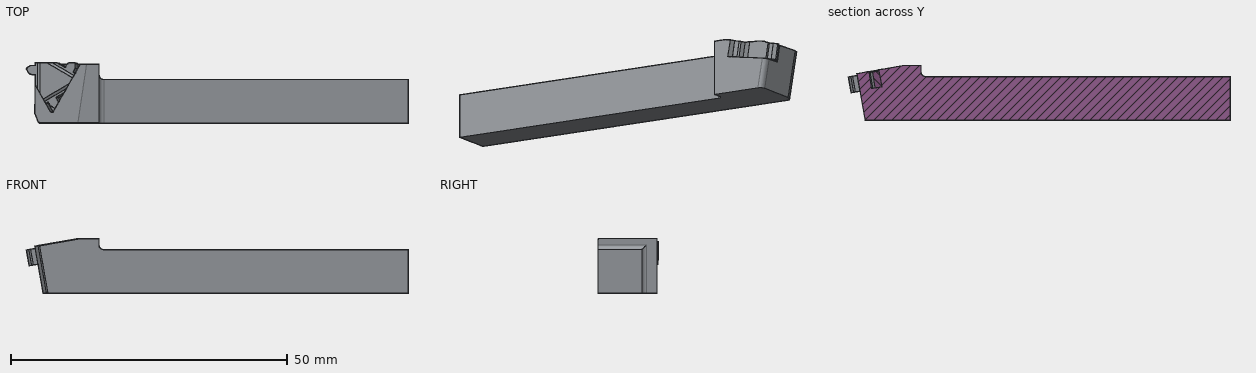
import cadquery as cq
import math

overall_length = 69.2
shank_width = 7.95
shank_height = 7.95

ramp_angle = 10.0
ramp_skew = 8.4
head_width = 10.7
head_height = 10.0
head_back_x = 13.2
nose_bottom_x = 3.05
neck_radius = 0.8
top_edge_chamfer = 0.15
nose_radius = 0.9
nose_facet_length = 1.8
nose_facet_depth = 0.6
nose_small_facet = 0.3
side_lean = math.tan(math.radians(ramp_angle))

crest_x = 9.35

insert_center_x = 4.65
insert_center_y = 7.9
insert_inradius = 3.1
insert_thickness = 3.1
apex_radius = 0.35
corner_count = 3
corner_pitch = 360 / corner_count

skew_slope = math.tan(math.radians(ramp_skew))
crest_distance = crest_x + insert_center_y * skew_slope - insert_center_x
ramp_drop = crest_distance * math.cos(math.radians(ramp_skew)) * math.tan(math.radians(ramp_angle))
insert_center_z = head_height - ramp_drop

hub_reach = 3.1
shoulder_top_reach = 2.2
shoulder_foot_reach = 2.7
tooth_depth = 0.2
tooth_reach = 4.8
tooth_center_y = 1.8
tooth_width = 1.65
tooth_taper_length = 0.8
tooth_tip_width = 0.8
tooth_tip_bulge = 0.15

cut_margin = 20.75


def ramp_cutter():
    """Wedge above the sloping face, whose crest is skewed across the head."""
    rise = cut_margin * math.tan(math.radians(ramp_angle))
    return (
        cq.Workplane("XZ")
        .polyline([(0, 0), (-cut_margin, -rise), (-cut_margin, cut_margin), (0, cut_margin)])
        .close()
        .extrude(cut_margin, both=True)
        .rotate((0, 0, 0), (0, 0, 1), -ramp_skew)
        .translate((crest_x, 0, head_height))
    )


def insert_blank():
    """Triangular prism with its top face centred on the origin."""
    half_back = insert_inradius * math.sqrt(3)
    return (
        cq.Workplane("XY")
        .polyline([
            (-half_back, insert_inradius),
            (half_back, insert_inradius),
            (0, -2 * insert_inradius),
        ])
        .close()
        .extrude(-insert_thickness)
        .edges("|Z and <Y")
        .fillet(apex_radius)
    )


def seat(body):
    """Tilt a body about the skewed crest direction and set it in the sloping top."""
    tilt_axis = (skew_slope, 1, 0)
    tilted = body.rotate((0, 0, 0), tilt_axis, -ramp_angle)
    return tilted.translate((insert_center_x, insert_center_y, insert_center_z))


def leaning_nose():
    """Plan outline of the head carried upwards along the leaning nose face."""
    facet_end_x = nose_bottom_x + nose_facet_depth
    outline = (
        cq.Workplane("XY")
        .moveTo(nose_bottom_x, nose_facet_length)
        .lineTo(facet_end_x, nose_small_facet)
        .lineTo(facet_end_x + nose_small_facet, 0)
        .lineTo(cut_margin, 0)
        .lineTo(cut_margin, head_width)
        .lineTo(nose_bottom_x + nose_radius, head_width)
        .radiusArc((nose_bottom_x, head_width - nose_radius), -nose_radius)
        .close()
    )
    direction = cq.Vector(-side_lean * head_height, 0, head_height)
    return cq.Workplane(cq.Solid.extrudeLinear(outline.wires().val(), [], direction))


def make_holder():
    shank = cq.Workplane("XY").box(overall_length, shank_width, shank_height, centered=False)
    head = cq.Workplane("XY").box(head_back_x, head_width, head_height, centered=False)
    head = head.cut(ramp_cutter()).edges("<Y and (not |Z) and (not <Z)")
    head = head.chamfer(top_edge_chamfer).intersect(leaning_nose())
    shank = shank.intersect(
        cq.Workplane("XY", origin=(head_back_x, 0, 0))
        .box(overall_length - head_back_x, shank_width, shank_height, centered=False)
    )
    holder = head.union(shank)
    top_corner = cq.selectors.NearestToPointSelector((head_back_x, shank_width / 2, shank_height))
    side_corner = cq.selectors.NearestToPointSelector((head_back_x, shank_width, shank_height / 2))
    neck_edges = holder.edges(top_corner).add(holder.edges(side_corner))
    holder = neck_edges.fillet(neck_radius)
    return holder.cut(seat(insert_blank()))


def make_tooth():
    """Tooth pointing to -X, tapering to a slightly rounded tip."""
    half_width = tooth_width / 2
    half_tip = tooth_tip_width / 2
    taper_start_x = tooth_taper_length - tooth_reach
    tip_edge_x = tooth_tip_bulge - tooth_reach
    return (
        cq.Workplane("XY", origin=(0, tooth_center_y, -tooth_depth))
        .moveTo(0, half_width)
        .lineTo(taper_start_x, half_width)
        .lineTo(tip_edge_x, half_tip)
        .threePointArc((-tooth_reach, 0), (tip_edge_x, -half_tip))
        .lineTo(taper_start_x, -half_width)
        .lineTo(0, -half_width)
        .close()
        .extrude(tooth_depth - insert_thickness)
    )


def hub_flank_cutter():
    """Material removed outside one hub flank and above its shoulder."""
    return (
        cq.Workplane("XZ")
        .polyline([
            (-hub_reach, -insert_thickness),
            (-hub_reach, -tooth_depth),
            (-shoulder_foot_reach, -tooth_depth),
            (-shoulder_top_reach, 0),
            (-cut_margin, 0),
            (-cut_margin, -insert_thickness),
        ])
        .close()
        .extrude(cut_margin, both=True)
    )


def make_insert():
    blank = insert_blank()
    insert = blank
    for corner in range(corner_count):
        turn = corner * corner_pitch
        insert = insert.cut(hub_flank_cutter().rotate((0, 0, 0), (0, 0, 1), turn))
    for corner in range(corner_count):
        turn = corner * corner_pitch
        tooth = make_tooth().rotate((0, 0, 0), (0, 0, 1), turn)
        insert = insert.union(tooth.intersect(blank))
    return seat(insert)


holder = make_holder()
insert = make_insert()

result = cq.Compound.makeCompound([holder.solids().val(), insert.solids().val()])